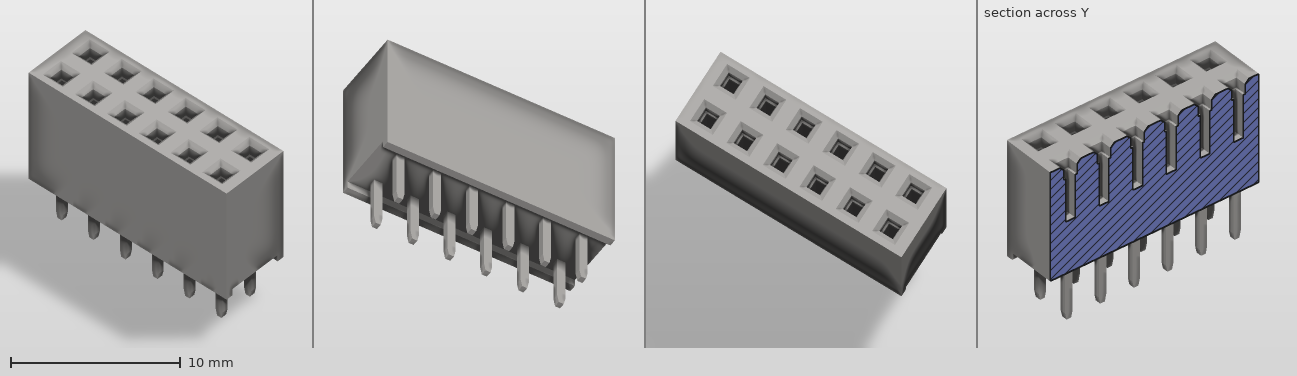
import cadquery as cq

columns = 6
rows = 2
body_length = 15.74
end_margin = 1.53
pitch = (body_length - 2 * end_margin) / (columns - 1)
body_width = 5.0
body_height = 8.5
total_height = 11.5

rail_width = 0.5
rail_height = 0.5

mouth_size = 1.59
throat_size = 0.98
funnel_depth = 0.3
socket_depth = 1.0

pin_row_spacing = 2.5
contact_length = 0.7
contact_width = 0.72
contact_depth = 3.15
pin_length = 0.57
pin_width = 0.42
tip_length = 0.35
tip_height = 0.5

body_bottom = total_height - body_height
underside = body_bottom + rail_height


def grid_points(row_spacing):
    return [
        ((column - (columns - 1) / 2) * pitch, (row - (rows - 1) / 2) * row_spacing)
        for column in range(columns)
        for row in range(rows)
    ]


def make_body():
    block = cq.Workplane("XY", origin=(0, 0, body_bottom)).box(
        body_length, body_width, body_height, centered=(True, True, False)
    )
    channel = cq.Workplane("XY", origin=(0, 0, body_bottom)).box(
        body_length, body_width - 2 * rail_width, rail_height, centered=(True, True, False)
    )
    return block.cut(channel)


def make_socket():
    """Square funnel leading into a straight square throat."""
    funnel = (
        cq.Workplane("XY", origin=(0, 0, total_height))
        .rect(mouth_size, mouth_size)
        .workplane(offset=-funnel_depth)
        .rect(throat_size, throat_size)
        .loft(ruled=True)
    )
    throat = (
        cq.Workplane("XY", origin=(0, 0, total_height - funnel_depth))
        .rect(throat_size, throat_size)
        .extrude(-(socket_depth - funnel_depth))
    )
    return funnel.union(throat)


def make_contact_hole():
    """Smaller blind hole in the socket floor."""
    return (
        cq.Workplane("XY", origin=(0, 0, total_height - socket_depth))
        .rect(contact_length, contact_width)
        .extrude(-contact_depth)
    )


def make_pin():
    """Flat pin whose two narrow sides taper to a blunt end."""
    outline = [
        (-pin_length / 2, underside),
        (-pin_length / 2, tip_height),
        (-tip_length / 2, 0),
        (tip_length / 2, 0),
        (pin_length / 2, tip_height),
        (pin_length / 2, underside),
    ]
    return cq.Workplane("XZ").polyline(outline).close().extrude(pin_width / 2, both=True)


def repeat(shape, row_spacing):
    copies = cq.Workplane("XY")
    for x, y in grid_points(row_spacing):
        copies = copies.add(shape.translate((x, y, 0)))
    return copies.combine()


result = (
    make_body()
    .cut(repeat(make_socket(), pitch))
    .cut(repeat(make_contact_hole(), pin_row_spacing))
    .union(repeat(make_pin(), pin_row_spacing))
)